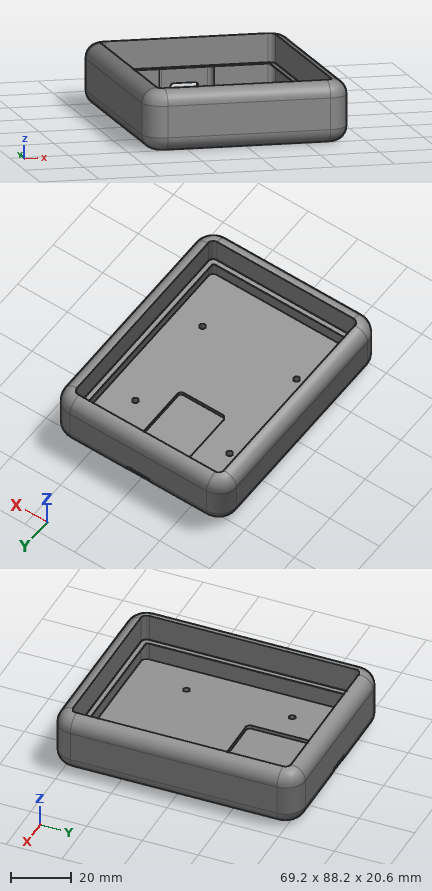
import cadquery as cq

width = 69.15
length = 88.2
height = 20.6
corner_radius = 7.1
edge_radius = 5.0

wall = edge_radius
lip_depth = 9.6
cavity_corner_radius = corner_radius - wall
lip_width = 1.9
lip_thickness = 0.2
floor_thickness = 3.0
lip_corner_radius = 0.7

recess_width = 18.6
recess_start_y = 7.2
recess_undercut = 3.0
recess_depth = 1.3
recess_corner_radius = 1.5

slot_width = 9.4
slot_height = 3.2
slot_corner_radius = 1.1

hole_diameter = 2.2
hole_spacing = 37.9

cavity_width = width - 2 * wall
cavity_length = length - 2 * wall
lip_opening_width = cavity_width - 2 * lip_width
lip_opening_length = cavity_length - 2 * lip_width
lip_top_z = height - lip_depth
lip_bottom_z = lip_top_z - lip_thickness
recess_floor_z = floor_thickness - recess_depth


def rounded_block(size_x, size_y, bottom_z, top_z, radius, center_y=0):
    """Block centred on X with rounded vertical edges."""
    return (
        cq.Workplane("XY", origin=(0, center_y, bottom_z))
        .rect(size_x, size_y)
        .extrude(top_z - bottom_z)
        .edges("|Z")
        .fillet(radius)
    )


def make_body():
    body = rounded_block(width, length, 0, height, corner_radius)
    return body.faces("<Z or >Z").edges().fillet(edge_radius)


def make_cavity():
    upper = rounded_block(cavity_width, cavity_length, lip_top_z, height, cavity_corner_radius)
    lower = rounded_block(
        cavity_width, cavity_length, floor_thickness, lip_bottom_z, cavity_corner_radius
    )
    lip_opening = rounded_block(
        lip_opening_width, lip_opening_length, lip_bottom_z, lip_top_z, lip_corner_radius
    )
    return upper.union(lip_opening).union(lower)


def make_recess():
    end_y = cavity_length / 2 + recess_undercut
    recess_length = end_y - recess_start_y
    center_y = (end_y + recess_start_y) / 2
    return rounded_block(
        recess_width, recess_length, recess_floor_z, lip_bottom_z, recess_corner_radius, center_y
    )


def make_connector_slot():
    center_z = recess_floor_z + slot_height / 2
    start_y = cavity_length / 2
    slot_length = length / 2 - start_y
    return (
        cq.Workplane("XY")
        .box(slot_width, slot_length, slot_height)
        .edges("|Y")
        .fillet(slot_corner_radius)
        .translate((0, start_y + slot_length / 2, center_z))
    )


def make_mounting_holes():
    return (
        cq.Workplane("XY")
        .rect(hole_spacing, hole_spacing, forConstruction=True)
        .vertices()
        .circle(hole_diameter / 2)
        .extrude(floor_thickness)
    )


result = (
    make_body()
    .cut(make_cavity())
    .cut(make_recess())
    .cut(make_connector_slot())
    .cut(make_mounting_holes())
)